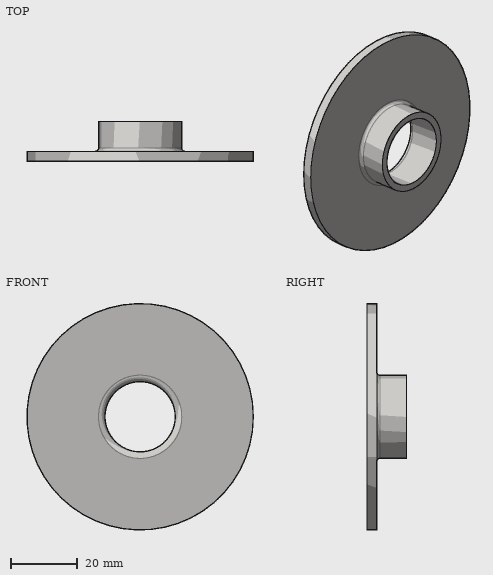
import cadquery as cq

flange_diameter = 68.0
flange_thickness = 3.0
overall_length = 12.0
hub_diameter = 25.0
bore_diameter = 21.0
bore_entry_radius = 2.0
hub_root_radius = 1.0

flange_face_y = 0.0
flange_back_y = flange_face_y + flange_thickness
hub_end_y = flange_face_y + overall_length


def cylinder_along_y(diameter, start_y, end_y):
    """Solid cylinder about the Y axis between two Y positions."""
    return (
        cq.Workplane("XZ", origin=(0, start_y, 0))
        .circle(diameter / 2)
        .extrude(start_y - end_y)
    )


def flanged_hub():
    """Flange disc and hub, with the filleted corner between them."""
    flange = cylinder_along_y(flange_diameter, flange_face_y, flange_back_y)
    hub = cylinder_along_y(hub_diameter, flange_back_y, hub_end_y)
    hub_root = cq.selectors.RadiusNthSelector(0)
    body = flange.union(hub)
    return body.faces("<Y[1]").edges(hub_root).fillet(hub_root_radius)


def cut_bore(body):
    """Through bore with a rounded mouth on the flange face."""
    bored = body.cut(cylinder_along_y(bore_diameter, flange_face_y, hub_end_y))
    bore_mouth = cq.selectors.RadiusNthSelector(0)
    return bored.faces("<Y").edges(bore_mouth).fillet(bore_entry_radius)


result = cut_bore(flanged_hub())